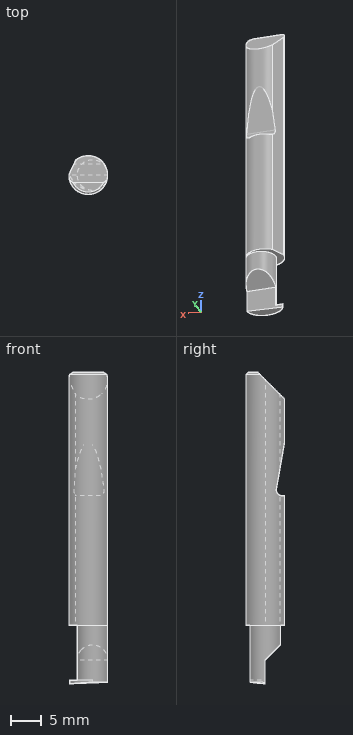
import cadquery as cq
import math

total_length = 50.8
shank_radius = 3.175
shank_bottom = 9.55
end_chamfer = 0.4
cut_width = 4 * shank_radius

flat_angle = 154.5
flat_distance = 2.9

bevel_front = -1.2

notch_bottom = 30.7
notch_top = 39.4
notch_floor_y = 1.85
notch_floor_z = 31.7
notch_fillet = 0.9

neck_radius = 2.5
neck_center_x = shank_radius - neck_radius
relief_bottom = 3.85

tooth_tip_x = -3.05
tooth_top = 0.6
tip_rise_x = 0.04
tip_rise_y = 0.06


def side_cutter(points):
    """Prism through the whole bar from a closed (Y, Z) outline."""
    return cq.Workplane("YZ").polyline(points).close().extrude(cut_width / 2, both=True)


def make_shank():
    shank = (
        cq.Workplane("XY")
        .workplane(offset=shank_bottom)
        .circle(shank_radius)
        .extrude(total_length - shank_bottom)
        .faces(">Z")
        .edges()
        .chamfer(end_chamfer)
    )
    side_flat = (
        cq.Workplane("XY")
        .box(cut_width, cut_width, total_length, centered=(False, True, False))
        .translate((flat_distance, 0, 0))
        .rotate((0, 0, 0), (0, 0, 1), flat_angle)
    )
    bevel_end = bevel_front + cut_width
    bevel = side_cutter([
        (bevel_front, total_length),
        (bevel_end, total_length - cut_width),
        (bevel_end, total_length),
    ])
    return shank.cut(side_flat).cut(bevel).cut(make_notch())


def make_notch():
    slope = (notch_floor_y - shank_radius) / (notch_top - notch_floor_z)
    outer_y = 2 * shank_radius
    corner_y = notch_floor_y + slope * (notch_floor_z - notch_bottom)
    notch = side_cutter([
        (outer_y, notch_bottom),
        (corner_y, notch_bottom),
        (shank_radius, notch_top),
        (outer_y, notch_top),
    ])
    return notch.edges("|X").edges("<Y").fillet(notch_fillet)


def make_neck():
    neck = cq.Workplane("XY").center(neck_center_x, 0).circle(neck_radius).extrude(shank_bottom)
    relief = side_cutter([
        (0, 0),
        (0, relief_bottom),
        (cut_width, relief_bottom + cut_width),
        (cut_width, 0),
    ])
    return neck.cut(relief)


def make_tooth():
    reach = neck_center_x - tooth_tip_x
    flank_radius = (reach**2 + neck_radius**2) / (2 * neck_radius)
    flank_center_y = flank_radius - neck_radius
    half_sweep = math.asin(reach / flank_radius) / 2
    flank_middle = (
        neck_center_x - flank_radius * math.sin(half_sweep),
        flank_center_y - flank_radius * math.cos(half_sweep),
    )
    return (
        cq.Workplane("XY")
        .moveTo(tooth_tip_x, 0)
        .threePointArc(flank_middle, (neck_center_x, -neck_radius))
        .lineTo(neck_center_x, 0)
        .close()
        .extrude(tooth_top)
    )


def make_end_clearance():
    """Block below the bottom face, which rises away from the cutting tip."""
    plane = cq.Plane(
        origin=(tooth_tip_x, 0, 0),
        xDir=(1, 0, tip_rise_x),
        normal=(-tip_rise_x, tip_rise_y, 1),
    )
    return cq.Workplane(plane).rect(2 * cut_width, 2 * cut_width).extrude(-shank_radius)


tip = make_neck().union(make_tooth()).cut(make_end_clearance())
result = make_shank().union(tip)